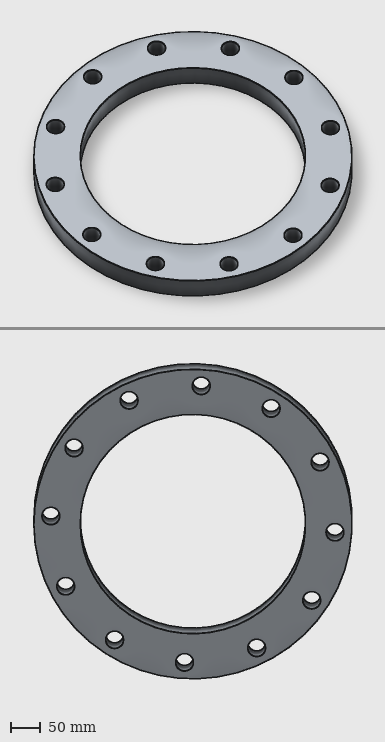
import cadquery as cq

outer_diameter = 533.0
bore_diameter = 376.0
thickness = 42.0
edge_chamfer = 1.0

bolt_count = 12
bolt_circle_diameter = 476.0
bolt_hole_diameter = 29.0

ring = (
    cq.Workplane("XY")
    .circle(outer_diameter / 2)
    .circle(bore_diameter / 2)
    .extrude(thickness)
)

bolt_holes = (
    cq.Workplane("XY")
    .polarArray(bolt_circle_diameter / 2, 0, 360, bolt_count)
    .circle(bolt_hole_diameter / 2)
    .extrude(thickness)
)

result = ring.cut(bolt_holes).faces("<Z or >Z").edges().chamfer(edge_chamfer)